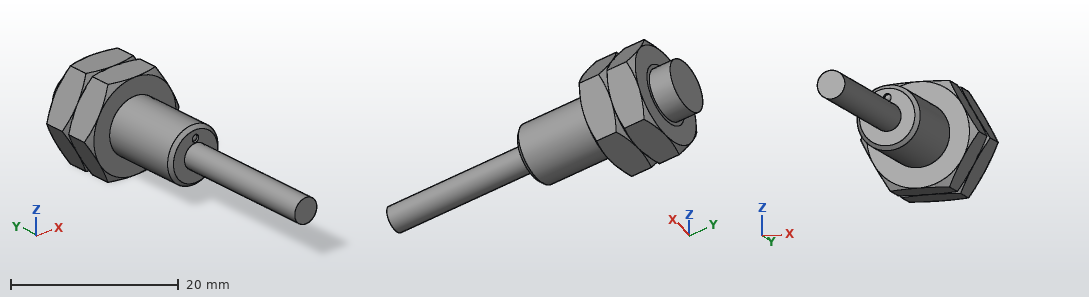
import cadquery as cq
import math


nose_diameter = 7.0
nose_length = 3.0
barrel_diameter = 8.0
sensor_length = 22.0
barrel_chamfer = 0.5
cable_diameter = 3.5
cable_length = 20.0

indicator_diameter = 1.0
indicator_height = 2.35

nut_count = 2
nut_across_flats = 13.0
nut_thickness = 4.0
nut_chamfer_angle = 30.0

nut_across_corners = nut_across_flats / math.cos(math.radians(30))
barrel_end = -sensor_length


def rod(diameter, start, length):
    """Cylinder on the Y axis running from Y = start toward -Y."""
    return cq.Workplane("XZ", origin=(0, start, 0)).circle(diameter / 2).extrude(length)


def make_sensor():
    nose = rod(nose_diameter, 0, nose_length)
    barrel = rod(barrel_diameter, -nose_length, sensor_length - nose_length)
    barrel = barrel.faces("<Y").chamfer(barrel_chamfer)
    cable = rod(cable_diameter, barrel_end, cable_length)
    dome_radius = indicator_diameter / 2
    dome_center = (0, barrel_end + dome_radius, indicator_height)
    hole = rod(indicator_diameter, barrel_end + dome_radius, dome_radius)
    hole = hole.translate((0, 0, indicator_height))
    dome = cq.Workplane("XY").sphere(dome_radius).translate(dome_center)
    return nose.union(barrel).cut(hole).union(dome).union(cable)


def make_nut(start):
    """Nut from Y = start toward -Y, with the corners of both faces chamfered by a cone."""
    hexagon = (
        cq.Workplane("XZ", origin=(0, start, 0))
        .polygon(6, nut_across_corners)
        .extrude(nut_thickness)
    )
    face_radius = nut_across_flats / 2
    corner_radius = nut_across_corners / 2
    corner_drop = (corner_radius - face_radius) * math.tan(math.radians(nut_chamfer_angle))
    end = start - nut_thickness
    corner_envelope = (
        cq.Workplane("XY")
        .moveTo(0, start)
        .lineTo(face_radius, start)
        .lineTo(corner_radius, start - corner_drop)
        .lineTo(corner_radius, end + corner_drop)
        .lineTo(face_radius, end)
        .lineTo(0, end)
        .close()
        .revolve(360, (0, 0, 0), (0, 1, 0))
    )
    bore = rod(barrel_diameter, start, nut_thickness)
    return hexagon.intersect(corner_envelope).cut(bore)


sensor = make_sensor()
nuts = [make_nut(-nose_length - index * nut_thickness) for index in range(nut_count)]

result = cq.Compound.makeCompound([sensor.val(), *[nut.val() for nut in nuts]])